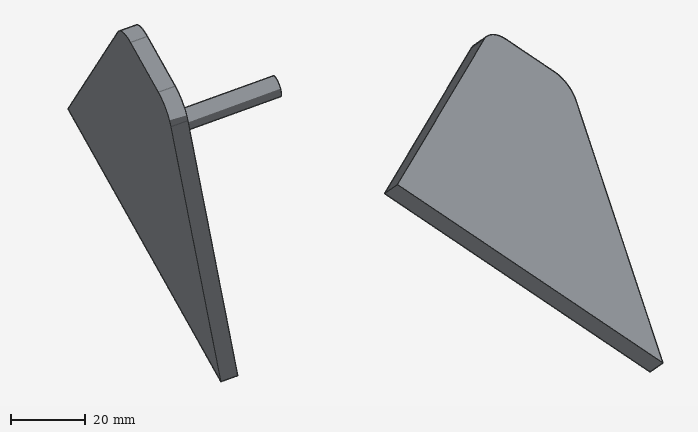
import cadquery as cq

base_width = 100.0
top_width = 30.0
height = 80.0
thickness = 5.0
corner_radius = 9.0

pin_diameter = 6.0
pin_length = 34.0
pin_height = 50.0


def make_plate():
    """Symmetric trapezoid with rounded top corners; its back face lies at Y = 0."""
    outline = [
        (-base_width / 2, 0),
        (base_width / 2, 0),
        (top_width / 2, height),
        (-top_width / 2, height),
    ]
    plate = cq.Workplane("XZ").polyline(outline).close().extrude(thickness)
    return plate.faces(">Z").edges("|Y").fillet(corner_radius)


def make_pin():
    """Pin pointing along +Y, rooted inside the plate for a solid joint."""
    root_depth = thickness / 2
    return (
        cq.Workplane("XZ", origin=(0, pin_length, pin_height))
        .circle(pin_diameter / 2)
        .extrude(pin_length + root_depth)
    )


result = make_plate().union(make_pin())